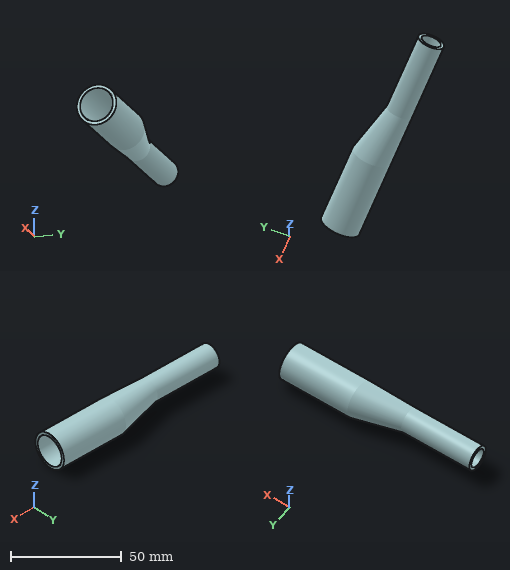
import cadquery as cq

small_outer_diameter = 12.7
small_bore_diameter = 9.4
large_outer_diameter = 19.05
large_bore_diameter = 15.75
tube_length = 38.1
cone_length = 25.4

overall_width = 19.12
axis_offset = overall_width - (large_outer_diameter + small_outer_diameter) / 2

cone_start = tube_length
cone_end = cone_start + cone_length


def cross_section(x, y):
    """Workplane facing +X with its origin at the given X and Y."""
    return cq.Workplane("YZ", origin=(x, y, 0))


def reducer_solid(small_diameter, large_diameter):
    """Two offset cylinders joined by an eccentric cone."""
    small_cylinder = cross_section(0, 0).circle(small_diameter / 2).extrude(tube_length)
    cone = (
        cross_section(cone_start, 0)
        .circle(small_diameter / 2)
        .workplane(offset=cone_length)
        .center(axis_offset, 0)
        .circle(large_diameter / 2)
        .loft(ruled=True)
    )
    large_cylinder = cross_section(cone_end, axis_offset).circle(large_diameter / 2).extrude(tube_length)
    return small_cylinder.union(cone).union(large_cylinder)


outer_body = reducer_solid(small_outer_diameter, large_outer_diameter)
bore = reducer_solid(small_bore_diameter, large_bore_diameter)

result = outer_body.cut(bore)